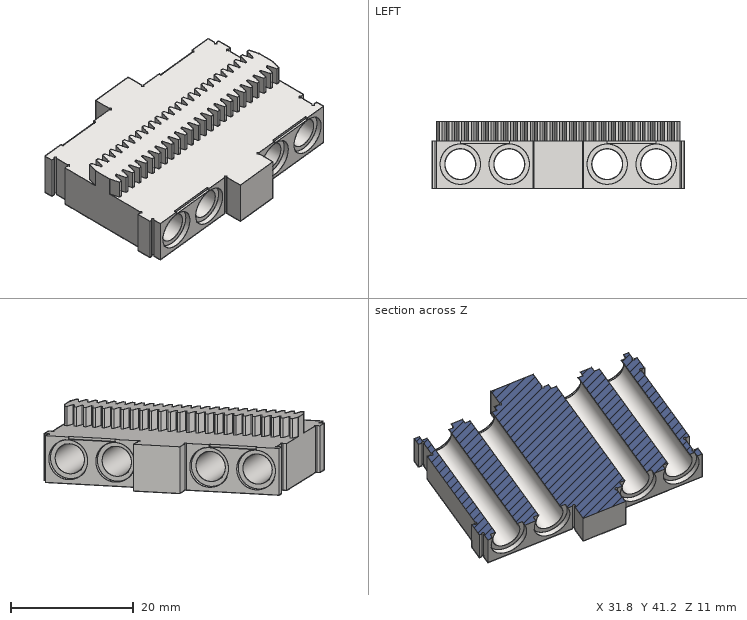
import cadquery as cq

body_x = 25.38
body_y = 39.8
body_z = 7.8

overall_x = 31.8
lug_y = 7.9

overall_y = 41.2
joint_x = 9.72
tab_x = 2.65
slot_x = 2.9
slot_depth = 0.85
relief_radius = 0.2

hole_pitch = 8.0
hole_diameter = 5.0
hole_z = hole_pitch / 2
bore_diameter = 6.6
bore_depth = 0.9

rebate_depth = 0.4
rebate_z = 0.4
rebate_y = 1.5 * hole_pitch

rack_x = 6.6
overall_z = 11.0
teeth_per_hole_pitch = 5
tooth_pitch = hole_pitch / teeth_per_hole_pitch
tooth_count = 25
tooth_depth = 1.75
tip_width = 0.45
gap_width = 0.25


def block_at(size_x, size_y, size_z, x, y, z):
    """Box centred on x and y, standing on height z."""
    box = cq.Workplane("XY").box(size_x, size_y, size_z, centered=(True, True, False))
    return box.translate((x, y, z))


def make_body():
    body = block_at(body_x, body_y, body_z, 0, 0, 0)
    body = body.union(block_at(overall_x, lug_y, body_z, 0, 0, 0))
    corners = [(sx * body_x / 2, sy * lug_y / 2) for sx in (-1, 1) for sy in (-1, 1)]
    for turn in (-1, 1):
        end_y = -turn * body_y / 2
        tab_depth = (overall_y - body_y) / 2
        tab_centre = turn * joint_x
        body = body.union(block_at(tab_x, 2 * tab_depth, body_z, tab_centre, end_y, 0))
        body = body.cut(block_at(slot_x, 2 * slot_depth, body_z, -tab_centre, end_y, 0))
        slot_floor = end_y + turn * slot_depth
        for side in (-1, 1):
            corners.append((tab_centre + side * tab_x / 2, end_y))
            corners.append((-tab_centre + side * slot_x / 2, slot_floor))
    reliefs = cq.Workplane("XY").pushPoints(corners).circle(relief_radius).extrude(body_z)
    return body.cut(reliefs)


def cut_cross_holes(body):
    for step in (-2, -1, 1, 2):
        y = step * hole_pitch
        axis = cq.Workplane("YZ").center(y, hole_z)
        body = body.cut(axis.circle(hole_diameter / 2).extrude(body_x / 2, both=True))
        for side in (-1, 1):
            bore = axis.workplane(offset=side * body_x / 2).circle(bore_diameter / 2)
            body = body.cut(bore.extrude(-side * bore_depth))
    return body


def cut_rebates(body):
    for side_x in (-1, 1):
        for side_y in (-1, 1):
            rebate = block_at(2 * rebate_depth, hole_pitch, rebate_z,
                              side_x * body_x / 2, side_y * rebate_y, body_z - rebate_z)
            body = body.cut(rebate)
    return body


def make_rack():
    rack_z = overall_z - body_z
    rack = block_at(rack_x, body_y, rack_z, 0, 0, body_z)
    mouth_half = (tooth_pitch - tip_width) / 2
    bottom_half = gap_width / 2
    tip = rack_x / 2
    root = tip - tooth_depth
    gaps = cq.Workplane("XY").workplane(offset=body_z)
    for index in range(tooth_count + 1):
        y = (index - tooth_count / 2) * tooth_pitch
        for side in (-1, 1):
            gaps = gaps.polyline([
                (side * tip, y - mouth_half),
                (side * root, y - bottom_half),
                (side * root, y + bottom_half),
                (side * tip, y + mouth_half),
            ]).close()
    return rack.cut(gaps.extrude(rack_z))


result = cut_rebates(cut_cross_holes(make_body())).union(make_rack())